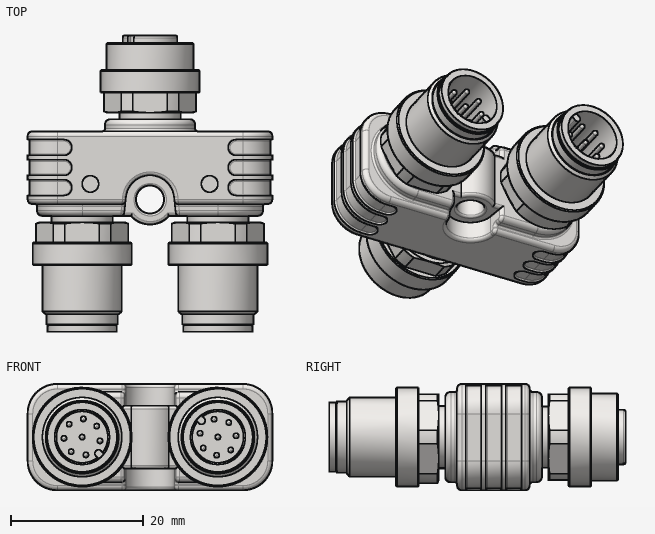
import cadquery as cq
import math


TOLERANCE = 0.005
OVERLAP = 0.5

BODY_LENGTH = 37.0
BODY_HEIGHT = 16.1
BODY_CORNER_RADIUS = 4.5
BODY_EDGE_FILLET = 0.75
BODY_REAR = 10.3
BODY_FRONT = -0.7

PAD_DIAMETER = 13.65
PAD_FILLET = 0.85
REAR_PAD_BASE_FILLET = 0.42
FRONT_PAD_BASE_FILLET = 0.3
REAR_PAD_END = 12.15
FRONT_PAD_END = -2.5
CONNECTOR_OFFSET = 10.25

EYE_HOLE_DIAMETER = 4.2
EYE_HOLE_FILLET = 0.35
EYE_RADIUS = 3.8
EYE_HEIGHT = 9.5
EYE_EDGE_FILLET = 0.5
RECESS_RADIUS = 3.65
RECESS_WALL_ANGLE = 6.0
RECESS_EDGE_FILLET = 0.55

GRIP_COUNT = 3
GRIP_PITCH = 3.03
GRIP_MIDDLE = 4.83
GRIP_WIDTH = 2.4
GRIP_DEPTH = 0.3
GRIP_REACH = 6.7
GRIP_FLOOR_FILLET = 0.22

MARKER_DIAMETER = 2.5
MARKER_DEPTH = 0.1
MARKER_OFFSET = 9.0
MARKER_Y = 2.35

NECK_DIAMETER = 9.3
HEX_SIDES = 6
HEX_ACROSS_FLATS = 13.0
HEX_CORNER_DIAMETER = 14.0
HEX_CHAMFER_RADIAL = 0.55
HEX_CHAMFER_AXIAL = 0.2
COLLAR_DIAMETER = 15.0
COLLAR_CHAMFER = 0.2
COLLAR_LENGTH = 3.5
HEX_LENGTH = 3.0
NECK_GAP = 0.95

MALE_END = -20.0
MALE_SHELL_DIAMETER = 12.0
MALE_SHELL_END = -16.9
MALE_STEP_DIAMETER = 10.8
MALE_STEP_START = -17.35
MALE_CONE_DIAMETER = 11.04
MALE_TIP_DIAMETER = 10.5
MALE_GROOVE_DIAMETER = 10.2
MALE_GROOVE_WIDTH = 0.15
MALE_TIP_START = -19.0
BORE_DIAMETER = 8.3
BORE_FLOOR_DIAMETER = 7.75
BORE_DEPTH = 9.0
PIN_DIAMETER = 0.8
PIN_TIP_FILLET = 0.35
PIN_INSET = 1.85
PIN_CIRCLE_RADIUS = 2.75
RING_PIN_COUNT = 7
PIN_STEP_ANGLE = 49.0
KEY_WIDTH = 1.1
KEY_LENGTH = 1.9
KEY_CENTER_RADIUS = 3.9
KEY_INSET = 0.3
LEFT_KEY_ANGLE = -45.0
RIGHT_KEY_ANGLE = LEFT_KEY_ANGLE + 180

FEMALE_SHELL_DIAMETER = 13.2
FEMALE_SHELL_END = 23.65
FEMALE_SHELL_CHAMFER = 0.2
INSERT_DIAMETER = 8.3
INSERT_END = 24.8
INSERT_FILLET = 0.4
KEYWAY_WIDTH = 1.35
KEYWAY_LENGTH = 3.0
KEYWAY_CENTER_RADIUS = 4.4
KEYWAY_ANGLE = 135.0


def section(y):
    """Workplane across the cable axis at y: local x is X, local y is Z, extrusion goes toward -Y."""
    return cq.Workplane("XZ", origin=(0, y, 0))


def disc(diameter, y_start, y_end, x=0, z=0):
    """Cylinder along Y between two stations."""
    return section(y_start).center(x, z).circle(diameter / 2).extrude(y_start - y_end)


def on_circle(radius, angle):
    """X and Z of a point at the given angle in degrees, counted from +X toward +Z."""
    return radius * math.cos(math.radians(angle)), radius * math.sin(math.radians(angle))


def radial_slot(length, width, center_radius, angle, y_start, y_end):
    """Round-ended bar along Y whose long side points away from the connector axis."""
    bar = section(y_start).center(center_radius, 0).slot2D(length, width).extrude(y_start - y_end)
    return bar.rotate((0, 0, 0), (0, 1, 0), -angle)


def body_block(inset=0.0):
    """Body bar with rounded long edges, optionally shrunk all round its section."""
    return (
        section(BODY_REAR)
        .rect(BODY_LENGTH - 2 * inset, BODY_HEIGHT - 2 * inset)
        .extrude(BODY_REAR - BODY_FRONT)
        .edges("|Y")
        .fillet(BODY_CORNER_RADIUS - inset)
    )


def bounds_grip_floor(edge, core):
    """True for an edge around the floor of a grip slot, leaving out the seams across that floor."""
    middle = edge.positionAt(0.5)
    touches_core = cq.Vertex.makeVertex(*middle.toTuple()).distance(core.val()) < TOLERANCE
    crosses_floor = edge.geomType() == "LINE" and abs(edge.startPoint().y - edge.endPoint().y) > TOLERANCE
    return touches_core and not crosses_floor


def grip_slots():
    """Shallow slots that run around each end, from the upper face to the lower one."""
    core = body_block(GRIP_DEPTH)
    tip_radius = GRIP_WIDTH / 2
    tip_center = BODY_LENGTH / 2 - GRIP_REACH + tip_radius
    outside = BODY_LENGTH / 2 + OVERLAP
    slots = cq.Workplane("XY")
    for index in range(GRIP_COUNT):
        y = GRIP_MIDDLE + (index - (GRIP_COUNT - 1) / 2) * GRIP_PITCH
        for side in (-1, 1):
            slot = (
                cq.Workplane("XY")
                .moveTo(side * outside, y - tip_radius)
                .lineTo(side * tip_center, y - tip_radius)
                .threePointArc((side * (tip_center - tip_radius), y), (side * tip_center, y + tip_radius))
                .lineTo(side * outside, y + tip_radius)
                .close()
                .extrude(BODY_HEIGHT, both=True)
            )
            slot = slot.cut(core)
            slot = slot.edges().filter(lambda edge: bounds_grip_floor(edge, core)).fillet(GRIP_FLOOR_FILLET)
            slots = slots.add(slot)
    return slots.combine()


def front_pad():
    depth = BODY_FRONT - FRONT_PAD_END
    return (
        section(BODY_FRONT + OVERLAP)
        .slot2D(2 * CONNECTOR_OFFSET + PAD_DIAMETER, PAD_DIAMETER)
        .extrude(depth + OVERLAP)
        .faces("<Y")
        .edges()
        .fillet(PAD_FILLET)
    )


def rear_pad():
    return disc(PAD_DIAMETER, REAR_PAD_END, BODY_REAR - OVERLAP).faces(">Y").edges().fillet(PAD_FILLET)


def is_pad_base(edge, y):
    """True for the outline of a pad where it meets the body face at y."""
    middle = edge.positionAt(0.5)
    within_pad = abs(middle.z) < PAD_DIAMETER / 2 + TOLERANCE
    within_face = abs(middle.x) < CONNECTOR_OFFSET + PAD_DIAMETER / 2 + TOLERANCE
    lies_on_face = abs(edge.startPoint().y - y) < TOLERANCE and abs(middle.y - y) < TOLERANCE
    return lies_on_face and within_pad and within_face


def recess():
    """Through-cut around the eye: a round end whose walls spread toward the mouth."""
    angle = math.radians(RECESS_WALL_ANGLE)
    tangent_x = RECESS_RADIUS * math.cos(angle)
    tangent_y = RECESS_RADIUS * math.sin(angle)
    mouth_y = FRONT_PAD_END - EYE_RADIUS
    mouth_x = tangent_x + (tangent_y - mouth_y) * math.tan(angle)
    return (
        cq.Workplane("XY")
        .moveTo(-mouth_x, mouth_y)
        .lineTo(-tangent_x, tangent_y)
        .threePointArc((0, RECESS_RADIUS), (tangent_x, tangent_y))
        .lineTo(mouth_x, mouth_y)
        .close()
        .extrude(BODY_HEIGHT, both=True)
    )


def is_recess_rim(edge):
    """True for the rim of the recess, leaving out the seams within its walls."""
    center = edge.Center()
    near_eye = abs(center.x) < RECESS_RADIUS + 2 * RECESS_EDGE_FILLET and center.y < RECESS_RADIUS
    height = abs(edge.startPoint().z - edge.endPoint().z)
    is_wall_seam = height > EYE_HEIGHT and center.y > 0
    return near_eye and not is_wall_seam


def is_hole_rim(edge):
    """True for the two circles where the mounting hole meets the recess floors."""
    return edge.geomType() == "CIRCLE" and abs(edge.radius() - EYE_HOLE_DIAMETER / 2) < TOLERANCE


def build_eye():
    """Eye post and the web that joins it to the body, both rounded along their front edges."""
    eye = cq.Workplane("XY").circle(EYE_RADIUS).extrude(EYE_HEIGHT / 2, both=True)
    eye = eye.faces("<Z or >Z").edges().fillet(EYE_EDGE_FILLET)
    web_half_width = RECESS_RADIUS + 2 * RECESS_EDGE_FILLET
    web = (
        section(RECESS_RADIUS + RECESS_EDGE_FILLET)
        .rect(2 * web_half_width, EYE_HEIGHT)
        .extrude(RECESS_RADIUS + RECESS_EDGE_FILLET - FRONT_PAD_END)
        .edges("<Y and |X")
        .fillet(EYE_EDGE_FILLET)
    )
    return web.union(eye)


def marker_recesses():
    return (
        cq.Workplane("XY", origin=(0, MARKER_Y, BODY_HEIGHT / 2))
        .pushPoints([(-MARKER_OFFSET, 0), (MARKER_OFFSET, 0)])
        .circle(MARKER_DIAMETER / 2)
        .extrude(-MARKER_DEPTH)
    )


def build_body():
    body = body_block().faces("<Y or >Y").edges().fillet(BODY_EDGE_FILLET)
    body = body.union(front_pad()).union(rear_pad())
    body = body.edges().filter(lambda edge: is_pad_base(edge, BODY_REAR)).fillet(REAR_PAD_BASE_FILLET)
    body = body.edges().filter(lambda edge: is_pad_base(edge, BODY_FRONT)).fillet(FRONT_PAD_BASE_FILLET)
    body = body.cut(grip_slots())
    body = body.cut(recess())
    body = body.edges().filter(is_recess_rim).fillet(RECESS_EDGE_FILLET)
    body = body.union(build_eye()).cut(marker_recesses())
    hole = cq.Workplane("XY").circle(EYE_HOLE_DIAMETER / 2).extrude(EYE_HEIGHT, both=True)
    return body.cut(hole).edges().filter(is_hole_rim).fillet(EYE_HOLE_FILLET)


def coupling_nut(pad_end, direction, x=0, has_lower_flat=True):
    """Neck, hexagon and collar leaving a pad at pad_end along direction (+1 or -1 in Y)."""
    hex_start = pad_end + direction * NECK_GAP
    hex_end = hex_start + direction * HEX_LENGTH
    collar_end = hex_end + direction * COLLAR_LENGTH
    neck = disc(NECK_DIAMETER, pad_end, hex_start, x)
    turned = disc(HEX_CORNER_DIAMETER, hex_start, hex_end, x)
    neck_side = "<Y" if direction > 0 else ">Y"
    turned = turned.faces(neck_side).edges().chamfer(HEX_CHAMFER_AXIAL, HEX_CHAMFER_RADIAL)
    vertex_circle = HEX_ACROSS_FLATS / math.cos(math.pi / HEX_SIDES)
    prism = section(hex_start).center(x, 0).polygon(HEX_SIDES, vertex_circle).extrude(hex_start - hex_end)
    if not has_lower_flat:
        half = HEX_ACROSS_FLATS / 2
        cover = section(hex_start).center(x, -half).rect(half, half).extrude(hex_start - hex_end)
        prism = prism.union(cover)
    collar = disc(COLLAR_DIAMETER, hex_end, collar_end, x)
    collar = collar.faces("<Y or >Y").edges().chamfer(COLLAR_CHAMFER)
    return neck.union(turned.intersect(prism)).union(collar)


def male_shell(x):
    """Hollow plug shell, turned about its own axis and opening toward -Y."""
    floor_y = MALE_END + BORE_DEPTH
    bevel = (BORE_DIAMETER - BORE_FLOOR_DIAMETER) / 2
    back_y = FRONT_PAD_END - NECK_GAP - HEX_LENGTH - COLLAR_LENGTH
    groove_start = MALE_TIP_START + MALE_GROOVE_WIDTH
    return (
        cq.Workplane("XY")
        .moveTo(0, back_y)
        .lineTo(MALE_SHELL_DIAMETER / 2, back_y)
        .lineTo(MALE_SHELL_DIAMETER / 2, MALE_SHELL_END)
        .lineTo(MALE_CONE_DIAMETER / 2, MALE_STEP_START)
        .lineTo(MALE_STEP_DIAMETER / 2, MALE_STEP_START)
        .lineTo(MALE_STEP_DIAMETER / 2, groove_start)
        .lineTo(MALE_GROOVE_DIAMETER / 2, groove_start)
        .lineTo(MALE_GROOVE_DIAMETER / 2, MALE_TIP_START)
        .lineTo(MALE_TIP_DIAMETER / 2, MALE_TIP_START)
        .lineTo(MALE_TIP_DIAMETER / 2, MALE_END)
        .lineTo(BORE_DIAMETER / 2, MALE_END)
        .lineTo(BORE_DIAMETER / 2, floor_y - bevel)
        .lineTo(BORE_FLOOR_DIAMETER / 2, floor_y)
        .lineTo(0, floor_y)
        .close()
        .revolve(360, (0, 0), (0, 1))
        .translate((x, 0, 0))
    )


def male_contacts(x, key_angle):
    """Center pin, ring of pins spread evenly away from the key, and the coding key on the bore wall."""
    root_y = MALE_END + BORE_DEPTH + OVERLAP
    first_angle = key_angle + 180 - PIN_STEP_ANGLE * (RING_PIN_COUNT - 1) / 2
    spots = [(0, 0)]
    for index in range(RING_PIN_COUNT):
        spots.append(on_circle(PIN_CIRCLE_RADIUS, first_angle + index * PIN_STEP_ANGLE))
    contacts = radial_slot(KEY_LENGTH, KEY_WIDTH, KEY_CENTER_RADIUS, key_angle, root_y, MALE_END + KEY_INSET)
    contacts = contacts.translate((x, 0, 0))
    for spot_x, spot_z in spots:
        pin = disc(PIN_DIAMETER, root_y, MALE_END + PIN_INSET, x + spot_x, spot_z)
        contacts = contacts.union(pin.faces("<Y").edges().fillet(PIN_TIP_FILLET))
    return contacts


def male_connector(x, key_angle, has_lower_flat):
    nut = coupling_nut(FRONT_PAD_END, -1, x, has_lower_flat)
    return nut.union(male_shell(x)).union(male_contacts(x, key_angle))


def female_connector():
    nut = coupling_nut(REAR_PAD_END, 1)
    collar_end = REAR_PAD_END + NECK_GAP + HEX_LENGTH + COLLAR_LENGTH
    shell = disc(FEMALE_SHELL_DIAMETER, FEMALE_SHELL_END, collar_end)
    shell = shell.faces(">Y").edges().chamfer(FEMALE_SHELL_CHAMFER)
    insert = disc(INSERT_DIAMETER, INSERT_END, FEMALE_SHELL_END)
    insert = insert.faces(">Y").edges().fillet(INSERT_FILLET)
    keyway = radial_slot(
        KEYWAY_LENGTH, KEYWAY_WIDTH, KEYWAY_CENTER_RADIUS, KEYWAY_ANGLE, INSERT_END, FEMALE_SHELL_END
    )
    insert = insert.cut(keyway)
    return nut.union(shell).union(insert)


result = (
    build_body()
    .union(female_connector())
    .union(male_connector(-CONNECTOR_OFFSET, LEFT_KEY_ANGLE, has_lower_flat=True))
    .union(male_connector(CONNECTOR_OFFSET, RIGHT_KEY_ANGLE, has_lower_flat=False))
)